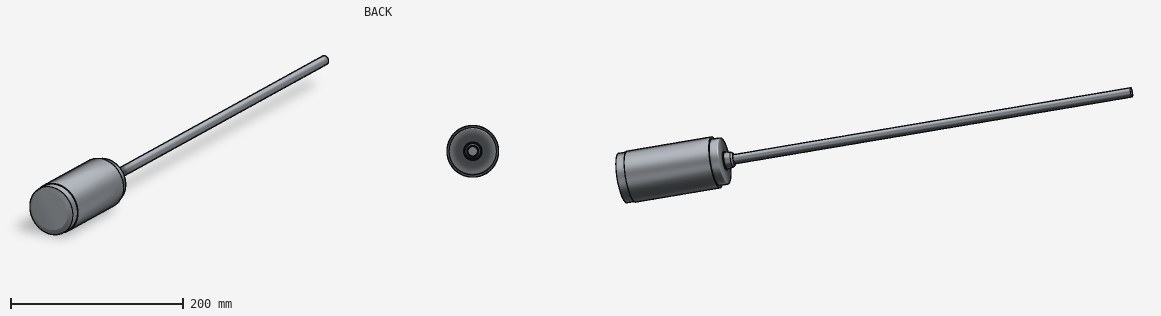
import cadquery as cq

TOTAL_LENGTH = 616.5

FRONT_CAP_DIAMETER = 58.5
FRONT_FACE_DIAMETER = 47.0
FRONT_SLOPE_DEPTH = 1.5

SLEEVE_DIAMETER = 60.5
SLEEVE_FRONT_Y = 12.0
SLEEVE_REAR_Y = 114.0

REAR_CAP_DIAMETER = 55.0
REAR_CAP_END_Y = 125.0
REAR_RIM_RADIUS = 2.0

GLAND_FLANGE_DIAMETER = 21.5
GLAND_FLANGE_THICKNESS = 1.0
GLAND_LENGTH = 11.0
NUT_BASE_DIAMETER = 20.0
NUT_SHOULDER_DIAMETER = 18.0
NUT_TOP_DIAMETER = 13.5
NUT_BEVEL_HEIGHT = 2.5

CABLE_DIAMETER = 11.0


def disc(diameter, start_y, end_y):
    """Solid cylinder on the Y axis from start_y to end_y."""
    return (
        cq.Workplane("XZ", origin=(0, start_y, 0))
        .circle(diameter / 2)
        .extrude(start_y - end_y)
    )


def make_front_cap():
    """Disc with a shallow cone around its flat front face."""
    cap = disc(FRONT_CAP_DIAMETER, 0, SLEEVE_FRONT_Y)
    slope_width = (FRONT_CAP_DIAMETER - FRONT_FACE_DIAMETER) / 2
    return cap.faces("<Y").chamfer(FRONT_SLOPE_DEPTH, slope_width)


def make_sleeve():
    """Plain cylinder between the two caps."""
    return disc(SLEEVE_DIAMETER, SLEEVE_FRONT_Y, SLEEVE_REAR_Y)


def make_rear_cap():
    """Disc with its rear rim rounded."""
    cap = disc(REAR_CAP_DIAMETER, SLEEVE_REAR_Y, REAR_CAP_END_Y)
    return cap.faces(">Y").edges().fillet(REAR_RIM_RADIUS)


def make_gland():
    """Flange and nut turned in one piece, with a bore for the cable."""
    flange_end_y = REAR_CAP_END_Y + GLAND_FLANGE_THICKNESS
    nut_end_y = REAR_CAP_END_Y + GLAND_LENGTH
    profile = cq.Workplane("XY").polyline([
        (CABLE_DIAMETER / 2, REAR_CAP_END_Y),
        (GLAND_FLANGE_DIAMETER / 2, REAR_CAP_END_Y),
        (GLAND_FLANGE_DIAMETER / 2, flange_end_y),
        (NUT_BASE_DIAMETER / 2, flange_end_y),
        (NUT_SHOULDER_DIAMETER / 2, nut_end_y - NUT_BEVEL_HEIGHT),
        (NUT_TOP_DIAMETER / 2, nut_end_y),
        (CABLE_DIAMETER / 2, nut_end_y),
    ]).close()
    return profile.revolve(360, (0, 0, 0), (0, 1, 0))


def make_cable():
    """Cable passing through the gland and ending on the rear cap."""
    return disc(CABLE_DIAMETER, REAR_CAP_END_Y, TOTAL_LENGTH)


front_cap = make_front_cap()
sleeve = make_sleeve()
rear_cap = make_rear_cap()
gland = make_gland()
cable = make_cable()

result = cq.Compound.makeCompound(
    [front_cap.val(), sleeve.val(), rear_cap.val(), gland.val(), cable.val()]
)